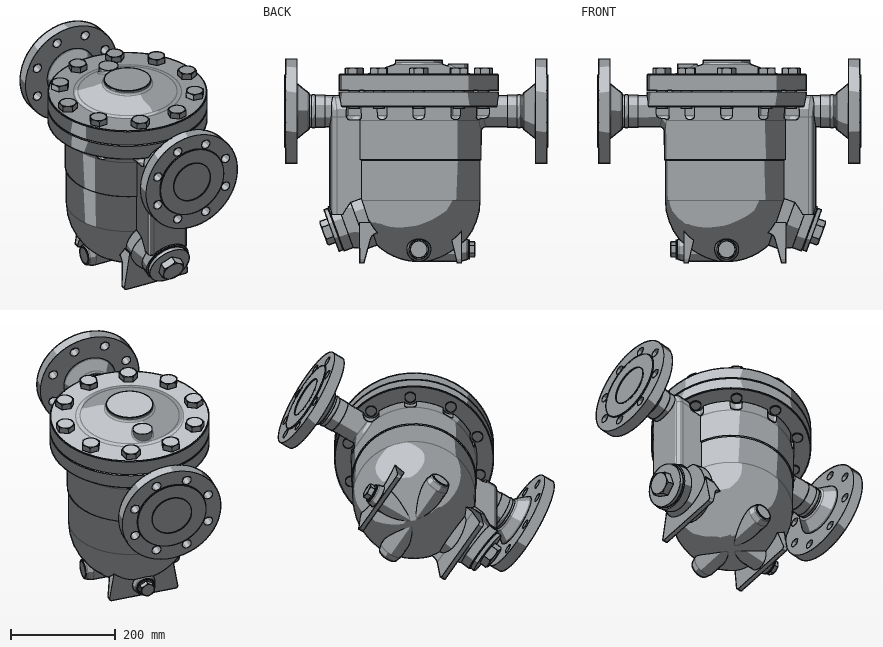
import cadquery as cq
import math


body_radius = 235 / 2
upper_body_radius = 239 / 2
neck_radius = 241.5 / 2
bowl_center_z = body_radius + 3
body_step_z = 197
body_step_height = 1.5
neck_bottom_z = 273.5

flange_radius = 305 / 2
flange_bottom_z = 299
flange_edge_chamfer = 1.5
gasket_bottom_z = 328
gasket_thickness = 3
gasket_radius = 105
cover_bottom_z = gasket_bottom_z + gasket_thickness
cover_top_z = 361.7
dome_base_radius = 207 / 2
dome_fillet_radius = 190 / 2
dome_fillet_z = 363
dome_base_fillet = 25
dome_top_fillet = 4
dome_top_radius = 97 / 2
dome_top_z = 380
cover_boss_radius = 90 / 2
cover_boss_base_z = 384
cover_boss_top_z = 389.2
cover_boss_chamfer = 0.8

vent_boss_x = -75.4
vent_boss_radius = 37 / 2
vent_boss_top_z = 381.3
vent_boss_fillet = 3

bolt_count = 10
bolt_circle_radius = 130
bolt_diameter = 21
bolt_head_flats = 31
bolt_head_height = 12
bolt_end_z = 296
relief_radius = 15.4
relief_corner_radius = 8.6
relief_bottom_z = 274

pipe_z = 291
pipe_radius = 60 / 2
inlet_face_x = -247
outlet_face_x = 257
pipe_flange_radius = 200 / 2
pipe_flange_thickness = 22
raised_face_radius = 138 / 2
raised_face_height = 2
raised_face_chamfer = 1
face_recess_radius = 80 / 2
face_recess_depth = 2
flange_hole_count = 8
flange_hole_diameter = 18
flange_hole_circle_radius = 160 / 2
hub_radius = 105 / 2
hub_neck_radius = 36
hub_end_radius = 62 / 2
hub_taper_depth = 45
hub_depth = 47.5
hub_neck_fillet = 5.5
hub_base_radius = 51.5
hub_base_depth = 2
bead_radius = 64 / 2
bead_width = 7.3
bead_depth = 51.5
stub_depth = 77
inlet_root_fillet = 9

passage_half_width = 41
passage_end_x = 171
passage_end_bulge_radius = 122
passage_edge_fillet = 10
passage_bottom_z = 92.8
passage_arch_z = pipe_z + pipe_radius - passage_half_width

strainer_tilt = 20
strainer_axis_z = 123.3
strainer_root_radius = 56
strainer_cone_start = 125
strainer_cone_end = 150
strainer_radius = 90 / 2
strainer_end = 168.5
strainer_gasket_radius = 83 / 2
strainer_gasket_end = 170
cap_radius = 85 / 2
cap_end = 178
cap_hex_flats = 42
cap_hex_height = 16

drain_z = 26.5
drain_radius = 46 / 2
drain_taper_start = 80.5
drain_taper_end = 91.5
drain_end = 95.3
drain_taper_radius = 20
drain_rim_radius = 18.5
drain_rim = 94.3
drain_face_radius = 16
plug_washer_radius = 18
plug_washer_thickness = 1.5
plug_hex_flats = 25.5
plug_hex_height = 10.5

inlet_foot_outer_x = -82
outlet_foot_outer_x = 113.5
foot_top_z = 78
foot_bottom_thickness = 8.5
foot_top_thickness = 27
foot_bottom_half_width = 70
foot_top_half_width = 57.5
foot_corner_radius = 5
foot_flare_bottom = (92.8, 46.5)
foot_flare_top = (79.5, 58)
foot_flare_radius = 17

hex_half_angle = 30
hex_corner_slope = 30

pick_margin = 1


def placed(part, plane):
    """The part moved so that its own Z axis becomes the plane's normal."""
    return cq.Workplane(part.val().moved(plane.location))


def outline_through(points):
    """Closed straight-sided outline through (radius, height) points."""
    return cq.Workplane("XZ").polyline(points).close()


def turned(outline, plane):
    """Solid of revolution from a (radius, height) outline, standing on the plane's normal."""
    return placed(outline.revolve(360, (0, 0, 0), (0, 1, 0)), plane)


def hexagon(flats, height):
    """Upright hexagonal prism with two corners on the X axis and its top corners turned off."""
    corner_diameter = flats / math.cos(math.radians(hex_half_angle))
    corner_inset = (corner_diameter - flats) / 2
    corner_drop = corner_inset * math.tan(math.radians(hex_corner_slope))
    prism = cq.Workplane("XY").polygon(6, corner_diameter).extrude(height)
    envelope = cq.Workplane("XY").circle(corner_diameter / 2).extrude(height)
    envelope = envelope.faces(">Z").chamfer(corner_drop, corner_inset)
    return prism.intersect(envelope)


def make_vessel():
    """Body, gasket, cover and dome turned in one piece about the Z axis."""
    chamfered_radius = flange_radius - flange_edge_chamfer
    return (
        cq.Workplane("XZ")
        .moveTo(0, bowl_center_z - body_radius)
        .radiusArc((body_radius, bowl_center_z), -body_radius)
        .lineTo(body_radius, body_step_z)
        .lineTo(upper_body_radius, body_step_z + body_step_height)
        .lineTo(upper_body_radius, neck_bottom_z)
        .lineTo(neck_radius, flange_bottom_z)
        .lineTo(chamfered_radius, flange_bottom_z)
        .lineTo(flange_radius, flange_bottom_z + flange_edge_chamfer)
        .lineTo(flange_radius, gasket_bottom_z)
        .lineTo(gasket_radius, gasket_bottom_z)
        .lineTo(gasket_radius, cover_bottom_z)
        .lineTo(flange_radius, cover_bottom_z)
        .lineTo(flange_radius, cover_top_z - flange_edge_chamfer)
        .lineTo(chamfered_radius, cover_top_z)
        .lineTo(dome_base_radius, cover_top_z)
        .radiusArc((dome_fillet_radius, dome_fillet_z), dome_base_fillet)
        .lineTo(dome_top_radius, dome_top_z)
        .radiusArc((cover_boss_radius, cover_boss_base_z), dome_top_fillet)
        .lineTo(cover_boss_radius, cover_boss_top_z - cover_boss_chamfer)
        .lineTo(cover_boss_radius - cover_boss_chamfer, cover_boss_top_z)
        .lineTo(0, cover_boss_top_z)
        .close()
        .revolve(360, (0, 0, 0), (0, 1, 0))
    )


def add_vent_boss(vessel):
    boss = (
        cq.Workplane("XY", origin=(vent_boss_x, 0, cover_bottom_z))
        .circle(vent_boss_radius)
        .extrude(vent_boss_top_z - cover_bottom_z)
    )
    reach = vent_boss_radius + pick_margin
    root = cq.selectors.BoxSelector(
        (vent_boss_x - reach, -reach, cover_top_z - pick_margin),
        (vent_boss_x + reach, reach, vent_boss_top_z - pick_margin),
        boundingbox=True,
    )
    return vessel.union(boss).edges(root).fillet(vent_boss_fillet)


def make_pipe_end(face_x, direction):
    """Pipe from the vessel axis to a weld-neck flange whose face is at face_x."""
    length = abs(face_x)
    back = length - raised_face_height - pipe_flange_thickness
    hub_end = length - hub_depth
    bead_end = length - bead_depth
    bead_start = bead_end - bead_width
    outline = (
        cq.Workplane("XZ")
        .lineTo(pipe_radius, 0)
        .lineTo(pipe_radius, length - stub_depth)
        .lineTo(hub_end_radius, length - stub_depth)
        .lineTo(hub_end_radius, bead_start)
        .threePointArc((bead_radius, (bead_start + bead_end) / 2), (hub_end_radius, bead_end))
        .lineTo(hub_end_radius, hub_end)
        .radiusArc((hub_neck_radius, length - hub_taper_depth), -hub_neck_fillet)
        .lineTo(hub_base_radius, back - hub_base_depth)
        .lineTo(hub_radius, back)
        .lineTo(pipe_flange_radius, back)
        .lineTo(pipe_flange_radius, length - raised_face_height)
        .lineTo(raised_face_radius + raised_face_chamfer, length - raised_face_height)
        .lineTo(raised_face_radius, length)
        .lineTo(face_recess_radius, length)
        .lineTo(face_recess_radius, length - face_recess_depth)
        .lineTo(0, length - face_recess_depth)
        .close()
    )
    plane = cq.Plane(origin=(0, 0, pipe_z), xDir=(0, 1, 0), normal=(direction, 0, 0))
    holes = (
        cq.Workplane(plane)
        .workplane(offset=back)
        .polarArray(flange_hole_circle_radius, 180 / flange_hole_count, 360, flange_hole_count)
        .circle(flange_hole_diameter / 2)
        .extrude(pipe_flange_thickness)
    )
    return turned(outline, plane).cut(holes)


def add_inlet(vessel):
    """Inlet pipe end on the -X side, with a fillet where the pipe leaves the vessel wall."""
    reach = pipe_radius + pick_margin
    root = cq.selectors.BoxSelector(
        (-upper_body_radius - pick_margin, -reach, pipe_z - reach),
        (-upper_body_radius / 2, reach, flange_bottom_z + pick_margin),
    )
    joined = vessel.union(make_pipe_end(inlet_face_x, -1))
    return joined.edges(root).fillet(inlet_root_fillet)


def make_passage():
    """Arch-topped passage whose bulged end edge is rounded."""
    height = passage_arch_z - passage_bottom_z
    block = (
        cq.Workplane("YZ", origin=(0, 0, passage_bottom_z))
        .moveTo(-passage_half_width, 0)
        .lineTo(passage_half_width, 0)
        .lineTo(passage_half_width, height)
        .threePointArc((0, height + passage_half_width), (-passage_half_width, height))
        .close()
        .extrude(passage_end_x)
    )
    bulge = (
        cq.Workplane("XY", origin=(passage_end_x - passage_end_bulge_radius, 0, 0))
        .circle(passage_end_bulge_radius)
        .extrude(cover_top_z)
    )
    end_edges = cq.selectors.BoxSelector(
        (passage_end_x / 2, -flange_radius, passage_bottom_z + pick_margin),
        (passage_end_x + pick_margin, flange_radius, cover_top_z),
    )
    rounded = block.intersect(bulge)
    return rounded.faces(">X").edges(end_edges).fillet(passage_edge_fillet)


def make_strainer():
    tilt = math.radians(strainer_tilt)
    plane = cq.Plane(
        origin=(0, 0, strainer_axis_z),
        xDir=(math.sin(tilt), 0, math.cos(tilt)),
        normal=(math.cos(tilt), 0, -math.sin(tilt)),
    )
    points = [
        (0, 0),
        (strainer_root_radius, 0),
        (strainer_root_radius, strainer_cone_start),
        (strainer_radius, strainer_cone_end),
        (strainer_radius, strainer_end),
        (strainer_gasket_radius, strainer_end),
        (strainer_gasket_radius, strainer_gasket_end),
        (cap_radius, strainer_gasket_end),
        (cap_radius, cap_end),
        (0, cap_end),
    ]
    head = hexagon(cap_hex_flats, cap_hex_height).translate((0, 0, cap_end))
    return turned(outline_through(points), plane).union(placed(head, plane))


def make_drain_boss(direction):
    points = [
        (0, 0),
        (drain_radius, 0),
        (drain_radius, drain_taper_start),
        (drain_taper_radius, drain_taper_end),
        (drain_rim_radius, drain_rim),
        (drain_face_radius, drain_end),
        (0, drain_end),
    ]
    plane = cq.Plane(origin=(0, 0, drain_z), xDir=(0, 0, 1), normal=direction)
    return turned(outline_through(points), plane)


def make_drain_plug():
    plane = cq.Plane(origin=(-drain_end, 0, drain_z), xDir=(0, 0, 1), normal=(-1, 0, 0))
    washer = cq.Workplane(plane).circle(plug_washer_radius).extrude(plug_washer_thickness)
    head = hexagon(plug_hex_flats, plug_hex_height).translate((0, 0, plug_washer_thickness))
    return washer.union(placed(head, plane))


def make_foot(outer_x, flared):
    """Foot with an upright outer face; the inner face slopes and can flare into the bowl."""
    inward = -math.copysign(1, outer_x)
    side = (
        cq.Workplane("XZ", origin=(0, foot_bottom_half_width, 0))
        .moveTo(outer_x, 0)
        .lineTo(outer_x + inward * foot_bottom_thickness, 0)
    )
    if flared:
        side = (
            side.lineTo(*foot_flare_bottom)
            .radiusArc(foot_flare_top, -foot_flare_radius)
            .lineTo(foot_flare_top[0], foot_top_z)
        )
    else:
        side = side.lineTo(outer_x + inward * foot_top_thickness, foot_top_z)
    side = side.lineTo(outer_x, foot_top_z).close().extrude(2 * foot_bottom_half_width)
    width = (
        cq.Workplane("YZ", origin=(-flange_radius, 0, 0))
        .moveTo(-foot_bottom_half_width, 0)
        .lineTo(foot_bottom_half_width, 0)
        .lineTo(foot_top_half_width, foot_top_z)
        .lineTo(-foot_top_half_width, foot_top_z)
        .close()
        .extrude(2 * flange_radius)
        .edges("|X and <Z")
        .fillet(foot_corner_radius)
    )
    return side.intersect(width)


def around_bolt_circle(shape):
    """Copies of a shape on the X axis, turned to every bolt position."""
    pitch = 360 / bolt_count
    return [shape.rotate((0, 0, 0), (0, 0, 1), 90 + i * pitch) for i in range(bolt_count)]


def make_bolt():
    shank = (
        cq.Workplane("XY", origin=(bolt_circle_radius, 0, bolt_end_z))
        .circle(bolt_diameter / 2)
        .extrude(cover_top_z - bolt_end_z)
    )
    head = hexagon(bolt_head_flats, bolt_head_height).rotate((0, 0, 0), (0, 0, 1), 90)
    return shank.union(head.translate((bolt_circle_radius, 0, cover_top_z)))


def make_bolt_relief():
    """Round-bottomed clearance under a bolt end, sunk into the neck of the vessel."""
    return (
        cq.Workplane("XY", origin=(bolt_circle_radius, 0, relief_bottom_z))
        .circle(relief_radius)
        .extrude(flange_bottom_z - relief_bottom_z)
        .faces("<Z")
        .edges()
        .fillet(relief_corner_radius)
    )


result = add_vent_boss(make_vessel())
result = add_inlet(result)
result = result.union(make_pipe_end(outlet_face_x, 1))
result = result.union(make_passage())
for relief in around_bolt_circle(make_bolt_relief()):
    result = result.cut(relief)
for bolt in around_bolt_circle(make_bolt()):
    result = result.union(bolt)
result = result.union(make_strainer())
result = result.union(make_foot(inlet_foot_outer_x, flared=False))
result = result.union(make_foot(outlet_foot_outer_x, flared=True))
for direction in ((0, -1, 0), (0, 1, 0), (-1, 0, 0)):
    result = result.union(make_drain_boss(direction))
result = result.union(make_drain_plug())